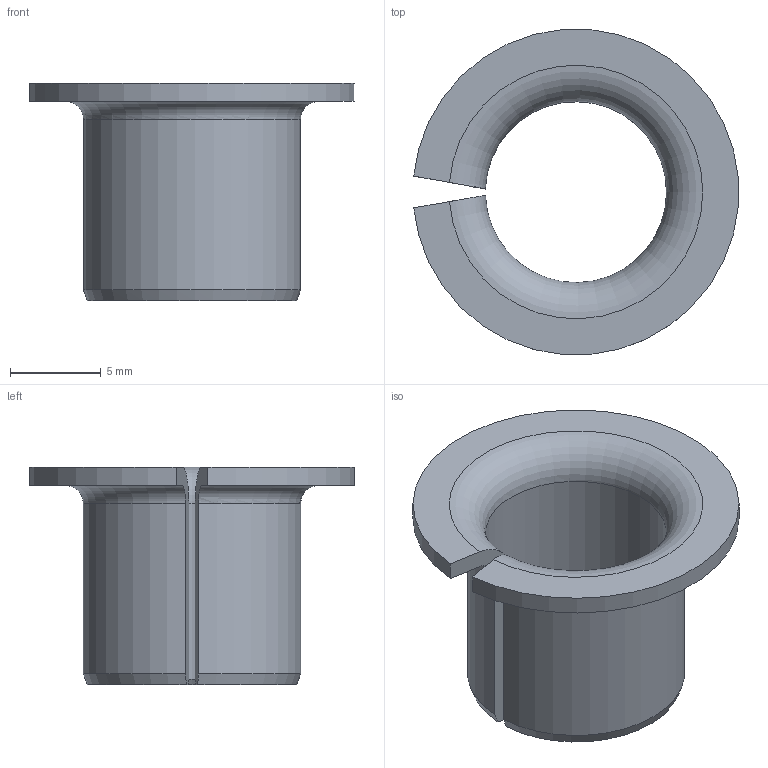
import cadquery as cq
import math

height = 12.0
bore_diameter = 10.0
wall = 1.0
flange_diameter = 18.0
inner_bend_radius = 2.0
outer_chamfer_height = 0.6
outer_chamfer_angle = 20.0
bore_chamfer_height = 0.3
bore_chamfer_angle = 30.0

split_half_angle = 10.0
split_half_width_at_bore = 0.18

bore_radius = bore_diameter / 2
body_radius = bore_radius + wall
flange_radius = flange_diameter / 2
outer_bend_radius = inner_bend_radius - wall
bend_center_r = bore_radius + inner_bend_radius
bend_center_z = height - inner_bend_radius
outer_chamfer_width = outer_chamfer_height * math.tan(math.radians(outer_chamfer_angle))
bore_chamfer_width = bore_chamfer_height * math.tan(math.radians(bore_chamfer_angle))


def make_bushing():
    """Sleeve rolled outwards into a flange of the same wall thickness."""
    diagonal = math.sqrt(0.5)
    outer_mid = (
        bend_center_r - outer_bend_radius * diagonal,
        bend_center_z + outer_bend_radius * diagonal,
    )
    inner_mid = (
        bend_center_r - inner_bend_radius * diagonal,
        bend_center_z + inner_bend_radius * diagonal,
    )
    profile = (
        cq.Workplane("XZ")
        .moveTo(bore_radius + bore_chamfer_width, 0)
        .lineTo(body_radius - outer_chamfer_width, 0)
        .lineTo(body_radius, outer_chamfer_height)
        .lineTo(body_radius, bend_center_z)
        .threePointArc(outer_mid, (bend_center_r, height - wall))
        .lineTo(flange_radius, height - wall)
        .lineTo(flange_radius, height)
        .lineTo(bend_center_r, height)
        .threePointArc(inner_mid, (bore_radius, bend_center_z))
        .lineTo(bore_radius, bore_chamfer_height)
        .close()
    )
    bushing = profile.revolve(360, (0, 0, 0), (0, 1, 0))
    return bushing.rotate((0, 0, 0), (0, 0, 1), 180)


def make_split():
    """Triangular prism, full height, with its apex inside the bore."""
    slope = math.tan(math.radians(split_half_angle))
    apex_x = -bore_radius + split_half_width_at_bore / slope
    outer_x = -flange_radius - wall
    outer_half_width = (apex_x - outer_x) * slope
    return (
        cq.Workplane("XY")
        .moveTo(apex_x, 0)
        .lineTo(outer_x, outer_half_width)
        .lineTo(outer_x, -outer_half_width)
        .close()
        .extrude(height)
    )


result = make_bushing().cut(make_split())